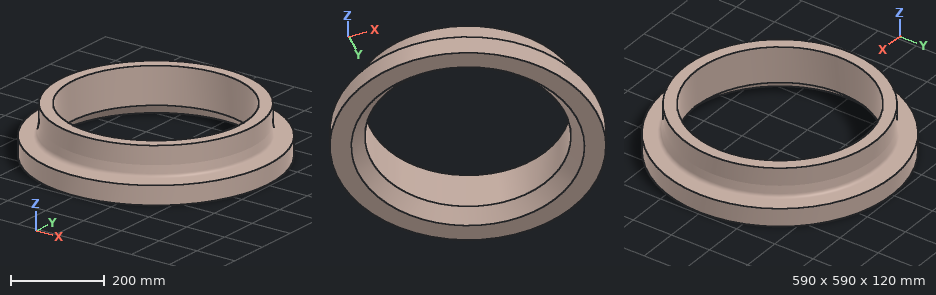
import cadquery as cq

flange_radius = 295.0
flange_thickness = 46.0

total_height = 120.0
neck_radius = 250.0
wall_thickness = 30.0
bore_radius = neck_radius - wall_thickness
hub_top_height = 75.0
hub_flare = 4.7
hub_base_radius = neck_radius + hub_flare

root_fillet_radius = 12.0
mouth_chamfer = 29.0

selection_margin = 1.0


def make_body():
    """Revolve the flange, tapered hub, neck and chamfered bore around Z."""
    profile = (
        cq.Workplane("XZ")
        .moveTo(bore_radius + mouth_chamfer, 0)
        .lineTo(flange_radius, 0)
        .lineTo(flange_radius, flange_thickness)
        .lineTo(hub_base_radius, flange_thickness)
        .lineTo(neck_radius, hub_top_height)
        .lineTo(neck_radius, total_height)
        .lineTo(bore_radius, total_height)
        .lineTo(bore_radius, mouth_chamfer)
        .close()
    )
    return profile.revolve(360, (0, 0, 0), (0, 1, 0))


def round_hub_root(body):
    """Round the inside corner where the hub meets the flange face."""
    flange_face_slice = cq.selectors.BoxSelector(
        (-flange_radius, -flange_radius, flange_thickness - selection_margin),
        (flange_radius, flange_radius, flange_thickness + selection_margin),
    )
    smallest_circle = cq.selectors.RadiusNthSelector(0)
    root_edge = body.edges(flange_face_slice).edges(smallest_circle)
    return root_edge.fillet(root_fillet_radius)


result = round_hub_root(make_body())